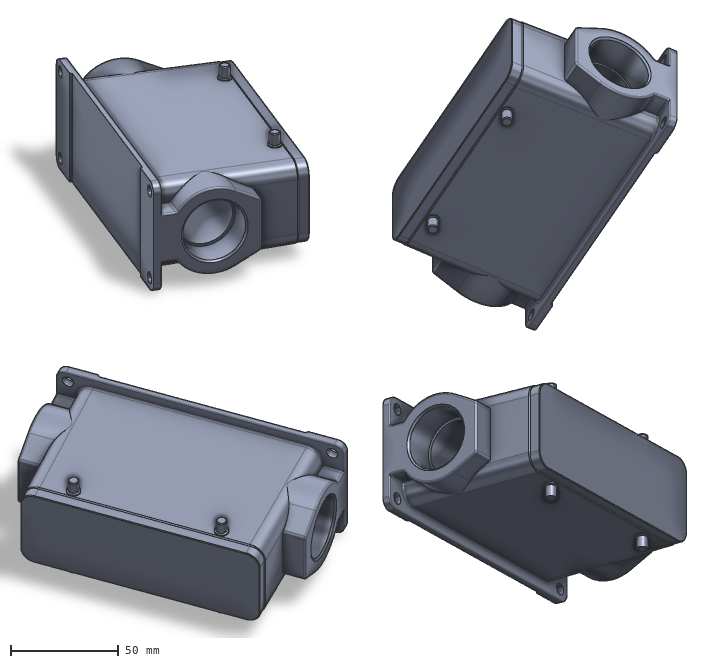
import cadquery as cq
import math


flange_length = 144.0
flange_height = 56.4
flange_thickness = 4.0
flange_corner_radius = 5.0
flange_edge_radius = 0.5
relief_length = 105.2
relief_depth = 1.1
mount_hole_diameter = 5.6
mount_hole_spacing_x = 132.0
mount_hole_spacing_z = 45.0

body_half_length = 61.2
body_half_height = 22.75
body_draft_angle = 0.75
body_corner_radius = 7.7
body_root_radius = 1.0
shoulder_y = 75.2
shoulder_inset = 0.4
shoulder_rise = 0.75
collar_corner_radius = 7.0
overall_depth = 80.48
collar_edge_chamfer = 0.4

boss_center_y = 30.0
boss_radius = 22.3
boss_back_y = 53.15
boss_back_half_height = 13.2
boss_inner_x = 45.0
boss_back_corner_radius = 2.2
boss_edge_radius = 1.0
neck_half_height = 12.5
neck_root_radius = 1.0
neck_top_radius = 1.5
through_bore_diameter = 28.0
entry_bore_diameter = 30.8
entry_bore_depth = 16.0
entry_chamfer = 0.95

pin_x = 37.0
pin_y = 71.0
pin_diameter = 5.2
pin_overall_length = 57.62
pin_tip_chamfer = 0.5
pin_base_diameter = 6.7
pin_base_top_z = 22.4
pin_base_cone_height = 0.4

pick_margin = 0.1


def plane_facing_back(y):
    """Sketch plane at depth y with local axes along -X and Z and its normal along +Y."""
    return cq.Workplane(cq.Plane(origin=(0, y, 0), xDir=(-1, 0, 0), normal=(0, 1, 0)))


def make_flange():
    return (
        plane_facing_back(0)
        .rect(flange_length, flange_height)
        .extrude(flange_thickness)
        .edges("|Y")
        .fillet(flange_corner_radius)
        .faces(">Y")
        .edges()
        .fillet(flange_edge_radius)
    )


def make_body():
    """Housing whose walls draw in towards +Y, ending in a sloped shoulder and a straight collar."""
    draft_inset = shoulder_y * math.tan(math.radians(body_draft_angle))
    body = (
        plane_facing_back(0)
        .rect(2 * body_half_length, 2 * body_half_height)
        .extrude(shoulder_y, taper=body_draft_angle)
    )
    body = body.edges("not(#Y)").fillet(body_corner_radius)
    body = body.faces(">Y").chamfer(shoulder_rise, shoulder_inset)

    collar_inset = draft_inset + shoulder_inset
    collar = (
        plane_facing_back(shoulder_y - shoulder_rise)
        .rect(2 * (body_half_length - collar_inset), 2 * (body_half_height - collar_inset))
        .extrude(overall_depth - shoulder_y + shoulder_rise)
        .edges("|Y")
        .fillet(collar_corner_radius)
        .faces(">Y")
        .chamfer(collar_edge_chamfer)
    )
    return body.union(collar)


def make_base():
    """Flange and housing joined by a root fillet, without the bosses."""
    base = make_flange().union(make_body())
    root_box = cq.selectors.BoxSelector(
        (-body_half_length, flange_thickness - pick_margin, -body_half_height),
        (body_half_length, flange_thickness + pick_margin, body_half_height),
    )
    return base.edges(root_box).fillet(body_root_radius)


def make_boss():
    """Boss on the +X end: round with a flat-sided back and a neck running into the flange."""
    corner_dy = boss_back_y - boss_center_y
    corner_distance = math.hypot(corner_dy, boss_back_half_height)
    tangent_angle = math.atan2(boss_back_half_height, corner_dy) + math.acos(boss_radius / corner_distance)
    tangent_y = boss_center_y + boss_radius * math.cos(tangent_angle)
    tangent_z = boss_radius * math.sin(tangent_angle)
    neck_y = boss_center_y - math.sqrt(boss_radius**2 - neck_half_height**2)
    top_point = (boss_center_y, boss_radius)
    bottom_point = (boss_center_y, -boss_radius)
    root_y = flange_thickness
    root_z = neck_half_height + neck_root_radius
    length = flange_length / 2 - boss_inner_x

    boss = (
        cq.Workplane("YZ", origin=(boss_inner_x, 0, 0))
        .moveTo(boss_back_y, -boss_back_half_height)
        .lineTo(boss_back_y, boss_back_half_height)
        .lineTo(tangent_y, tangent_z)
        .threePointArc(top_point, (neck_y, neck_half_height))
        .lineTo(root_y + neck_root_radius, neck_half_height)
        .radiusArc((root_y, root_z), neck_root_radius)
        .lineTo(0, root_z)
        .lineTo(0, -root_z)
        .lineTo(root_y, -root_z)
        .radiusArc((root_y + neck_root_radius, -neck_half_height), neck_root_radius)
        .lineTo(neck_y, -neck_half_height)
        .threePointArc(bottom_point, (tangent_y, -tangent_z))
        .close()
        .extrude(length)
    )
    boss = boss.faces(">Y").edges("|X").fillet(boss_back_corner_radius)
    neck_top_edges = cq.selectors.BoxSelector(
        (boss_inner_x, neck_y - pick_margin, -neck_half_height - pick_margin),
        (flange_length, neck_y + pick_margin, neck_half_height + pick_margin),
    )
    boss = boss.edges("|X").edges(neck_top_edges).fillet(neck_top_radius)
    outer_edges = cq.selectors.BoxSelector(
        (flange_length / 2 - pick_margin, flange_thickness + pick_margin, -flange_height),
        (flange_length / 2 + pick_margin, overall_depth, flange_height),
    )
    return boss.edges(outer_edges).fillet(boss_edge_radius)


def make_pin(x):
    """Locking pin along Z sticking out of both broad sides, with a conical base at each side."""
    pin = (
        cq.Workplane("XY", origin=(x, pin_y, -pin_overall_length / 2))
        .circle(pin_diameter / 2)
        .extrude(pin_overall_length)
        .faces("<Z or >Z")
        .chamfer(pin_tip_chamfer)
    )
    cone_top_z = pin_base_top_z + pin_base_cone_height
    base = (
        cq.Workplane("XY", origin=(x, pin_y, -cone_top_z))
        .circle(pin_base_diameter / 2)
        .extrude(2 * cone_top_z)
        .faces("<Z or >Z")
        .chamfer(pin_base_cone_height, (pin_base_diameter - pin_diameter) / 2)
    )
    return pin.union(base)


def make_entry_bore():
    """Counterbored and chamfered entry cut into the +X end."""
    end_x = flange_length / 2
    bore_radius = entry_bore_diameter / 2
    profile = (
        cq.Workplane("XY")
        .moveTo(end_x - entry_bore_depth, boss_center_y)
        .lineTo(end_x - entry_bore_depth, boss_center_y + bore_radius)
        .lineTo(end_x - entry_chamfer, boss_center_y + bore_radius)
        .lineTo(end_x, boss_center_y + bore_radius + entry_chamfer)
        .lineTo(end_x, boss_center_y)
        .close()
    )
    return profile.revolve(360, (0, boss_center_y, 0), (1, boss_center_y, 0))


def make_through_bore():
    return (
        cq.Workplane("YZ", origin=(-flange_length / 2, 0, 0))
        .center(boss_center_y, 0)
        .circle(through_bore_diameter / 2)
        .extrude(flange_length)
    )


def make_relief():
    """Shallow step with 45 degree ends across the middle of the flange's outer face."""
    half_length = relief_length / 2
    return (
        cq.Workplane("XY", origin=(0, 0, -flange_height / 2))
        .moveTo(-half_length, 0)
        .lineTo(half_length, 0)
        .lineTo(half_length - relief_depth, relief_depth)
        .lineTo(-half_length + relief_depth, relief_depth)
        .close()
        .extrude(flange_height)
    )


def make_mount_holes():
    return (
        plane_facing_back(0)
        .rect(mount_hole_spacing_x, mount_hole_spacing_z, forConstruction=True)
        .vertices()
        .circle(mount_hole_diameter / 2)
        .extrude(flange_thickness)
    )


boss = make_boss()
entry_bore = make_entry_bore()

result = make_base().union(boss).union(boss.mirror("YZ"))
for pin_side in (-1, 1):
    result = result.union(make_pin(pin_side * pin_x))
result = result.cut(make_through_bore())
result = result.cut(entry_bore).cut(entry_bore.mirror("YZ"))
result = result.cut(make_relief()).cut(make_mount_holes())